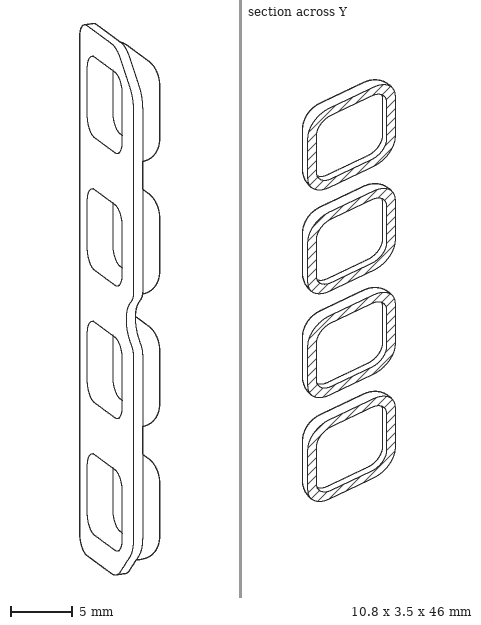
import cadquery as cq

length = 46.0
width = 10.75
depth = 3.5
plate_thickness = 0.85
left_corner_radius = 1.45
bevel_leg = 3.35
bevel_blend_radius = 2.5

notch_depth = 2.35
notch_root_radius = 2.15
notch_lip_radius = 1.0

cap_count = 4
cap_pitch = length / cap_count
cap_center_x = -0.35
wall = 0.9
pocket_size = 7.0
pocket_corner_radius = 1.45
pocket_depth = 2.3
cap_size = pocket_size + 2 * wall
cap_corner_radius = 2.2
cap_edge_radius = 1.45

left = -width / 2
right = width / 2
top = length / 2
bottom = -top
front_y = -depth / 2


def xz_plane(y):
    """Sketch plane at the given Y: local x is X, local y is Z, extrusion runs towards -Y."""
    return cq.Workplane("XZ", origin=(0, y, 0))


def round_corners(body, points, radius):
    """Round the edges parallel to Y that pass through the given (x, z) points."""
    for x, z in points:
        nearest = cq.selectors.NearestToPointSelector((x, front_y + plate_thickness / 2, z))
        body = body.edges(nearest).fillet(radius)
    return body


def make_plate():
    left_corners = [(left, bottom), (left, top)]
    bevel_corners = [
        (right - bevel_leg, bottom),
        (right, bottom + bevel_leg),
        (right, top - bevel_leg),
        (right - bevel_leg, top),
    ]
    notch_root = (right - notch_depth, 0)
    notch_lips = [(right, -notch_depth), (right, notch_depth)]
    outline = [
        left_corners[0],
        *bevel_corners[:2],
        notch_lips[0],
        notch_root,
        notch_lips[1],
        *bevel_corners[2:],
        left_corners[1],
    ]
    plate = xz_plane(front_y).polyline(outline).close().extrude(-plate_thickness)
    plate = round_corners(plate, left_corners, left_corner_radius)
    plate = round_corners(plate, bevel_corners, bevel_blend_radius)
    plate = round_corners(plate, [notch_root], notch_root_radius)
    return round_corners(plate, notch_lips, notch_lip_radius)


def rounded_block(size, corner_radius, center_z, height):
    """Square block with rounded corners, rising from the front face towards +Y."""
    block = xz_plane(front_y).center(cap_center_x, center_z).rect(size, size).extrude(-height)
    return block.edges("|Y").fillet(corner_radius)


def make_cap(center_z):
    cap = rounded_block(cap_size, cap_corner_radius, center_z, depth)
    return cap.faces(">Y").edges().fillet(cap_edge_radius)


def make_pocket(center_z):
    return rounded_block(pocket_size, pocket_corner_radius, center_z, pocket_depth)


result = make_plate()
for index in range(cap_count):
    cap_center_z = bottom + (index + 0.5) * cap_pitch
    result = result.union(make_cap(cap_center_z)).cut(make_pocket(cap_center_z))